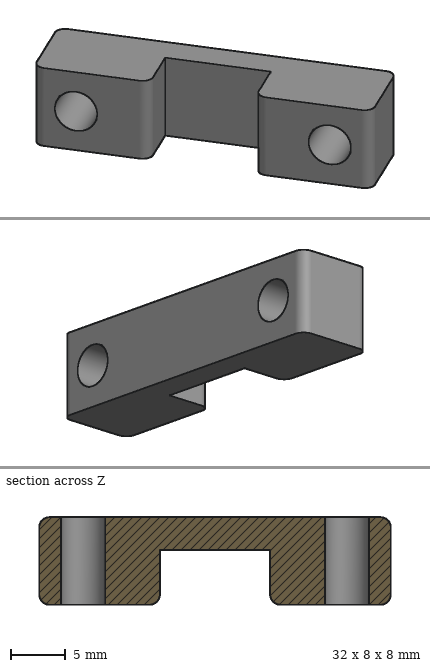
import cadquery as cq

length = 32.0
depth = 8.0
height = 8.0
notch_width = 10.0
notch_depth = 5.0
corner_radius = 1.0
hole_diameter = 4.0
hole_end_distance = 4.0

hole_offset = length / 2 - hole_end_distance
notch_center_y = (notch_depth - depth) / 2

bar = cq.Workplane("XY").box(length, depth, height)
notch = cq.Workplane("XY").box(notch_width, notch_depth, height).translate((0, notch_center_y, 0))
bracket = bar.cut(notch)

bracket = bracket.edges("|Z and (<X or >X or <Y)").fillet(corner_radius)

holes = (
    cq.Workplane("XZ")
    .pushPoints([(-hole_offset, 0), (hole_offset, 0)])
    .circle(hole_diameter / 2)
    .extrude(depth, both=True)
)

result = bracket.cut(holes)